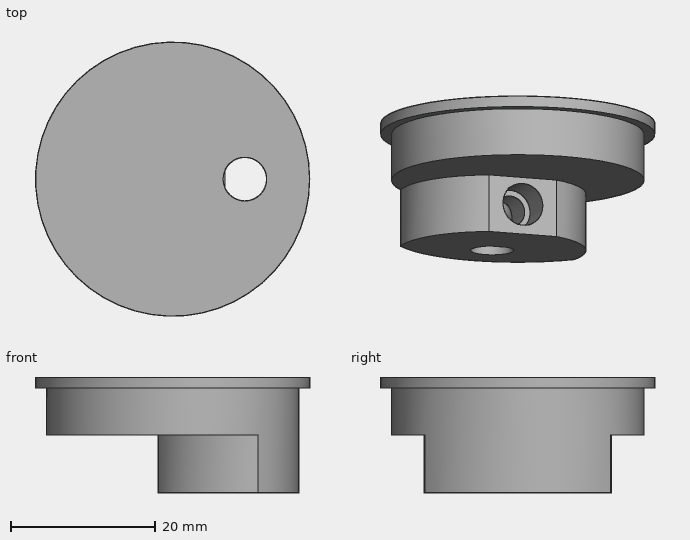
import cadquery as cq

flange_radius = 19.0
flange_thickness = 1.5
body_radius = 17.5
body_height = 6.5
boss_height = 8.0

boss_radius = 13.0
boss_flat_x = -2.0

shaft_x = 10.0
shaft_diameter = 6.0
shaft_flat_offset = 2.73
round_depth = 1.83

screw_diameter = 4.3
counterbore_diameter = 5.9
counterbore_depth = 5.0
screw_height_above_bottom = 4.2

body_bottom_z = -(flange_thickness + body_height)
boss_bottom_z = body_bottom_z - boss_height
screw_z = boss_bottom_z + screw_height_above_bottom


def vertical_cylinder(radius, bottom_z, top_z, centre_x=0.0):
    """Upright cylinder centred on the X axis, between two heights."""
    return (
        cq.Workplane("XY", origin=(centre_x, 0, bottom_z))
        .circle(radius)
        .extrude(top_z - bottom_z)
    )


def keep_beyond(solid, flat_x):
    """Trim a solid with a vertical flat, keeping the side with x above flat_x."""
    keep_size = 2 * flange_radius
    keeper = cq.Workplane("XY").box(
        keep_size, keep_size, keep_size, centered=(False, True, True)
    )
    return solid.intersect(keeper.translate((flat_x, 0, 0)))


def make_cap():
    """Flange with the round body below it."""
    flange = vertical_cylinder(flange_radius, -flange_thickness, 0)
    body = vertical_cylinder(body_radius, body_bottom_z, -flange_thickness)
    return flange.union(body)


def make_boss():
    """Offset disc kept inside the body outline and cut flat on its -X side."""
    disc = vertical_cylinder(boss_radius, boss_bottom_z, body_bottom_z, shaft_x)
    outline = vertical_cylinder(body_radius, boss_bottom_z, body_bottom_z)
    return keep_beyond(disc.intersect(outline), boss_flat_x)


def make_shaft_hole():
    """Through hole: a short round mouth at the top and a D section down to the bottom."""
    radius = shaft_diameter / 2
    mouth = vertical_cylinder(radius, -round_depth, 0, shaft_x)
    lower = vertical_cylinder(radius, boss_bottom_z, -round_depth, shaft_x)
    return mouth.union(keep_beyond(lower, shaft_x - shaft_flat_offset))


def cross_cylinder(diameter, length):
    """Cylinder on the screw axis, starting at the boss flat and running toward +X."""
    return (
        cq.Workplane("YZ", origin=(boss_flat_x, 0, screw_z))
        .circle(diameter / 2)
        .extrude(length)
    )


def make_screw_hole():
    """Counterbored screw hole ending at the shaft axis."""
    bore = cross_cylinder(screw_diameter, shaft_x - boss_flat_x)
    return bore.union(cross_cylinder(counterbore_diameter, counterbore_depth))


result = make_cap().union(make_boss()).cut(make_shaft_hole()).cut(make_screw_hole())